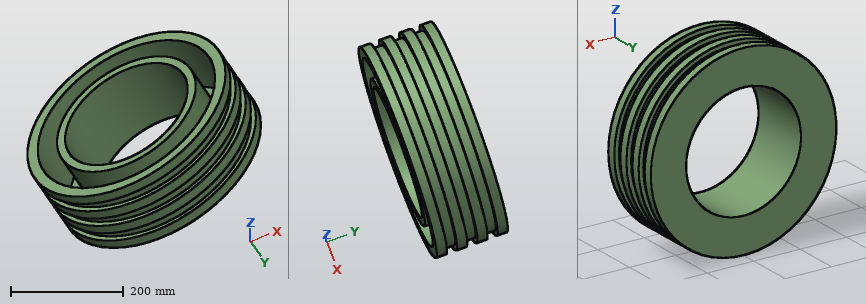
import cadquery as cq

outer_diameter = 400.0
groove_diameter = 380.0
recess_outer_diameter = 358.0
hub_diameter = 280.0
bore_diameter = 247.0
width = 135.0
groove_count = 3
recess_depth = 123.5

band_width = width / (2 * groove_count + 1)
front_face = -width / 2


def tube(outer, inner, start_y, length):
    """Tube along +Y, starting at start_y."""
    profile = cq.Workplane("XZ", origin=(0, start_y, 0)).circle(outer / 2).circle(inner / 2)
    return profile.extrude(-length)


result = tube(outer_diameter, bore_diameter, front_face, width)

result = result.cut(tube(recess_outer_diameter, hub_diameter, front_face, recess_depth))

for index in range(groove_count):
    groove_start = front_face + (2 * index + 1) * band_width
    result = result.cut(tube(outer_diameter, groove_diameter, groove_start, band_width))